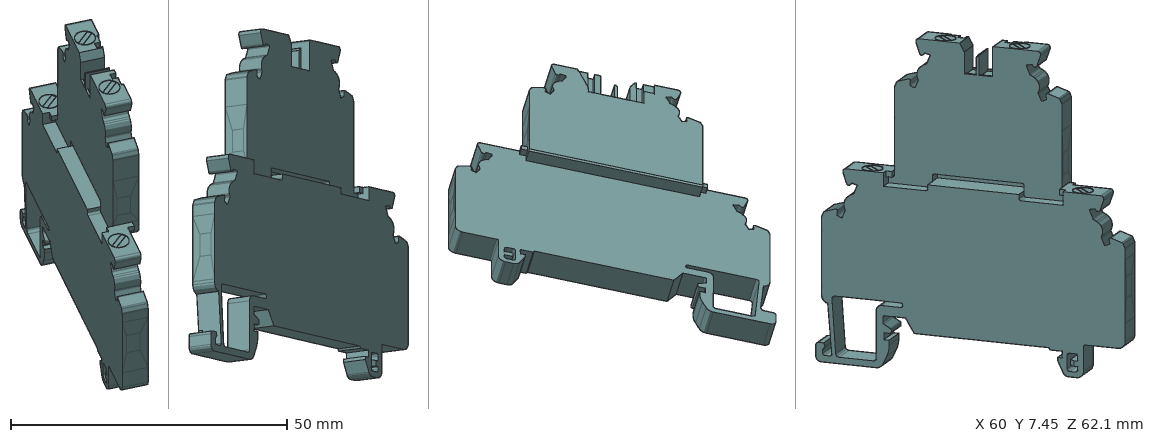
import cadquery as cq
import math

TOTAL_WIDTH = 60.02
TOTAL_HEIGHT = 62.1
TOTAL_DEPTH = 7.45
BLOCK_DEPTH = 4.95
UPPER_FRONT = TOTAL_DEPTH - BLOCK_DEPTH

UPPER_HALF_WIDTH = 16.25
LUG_SPACING = 13.2
LOWER_HALF_WIDTH = UPPER_HALF_WIDTH + LUG_SPACING
HOOK_LEFT = TOTAL_WIDTH - LOWER_HALF_WIDTH

UPPER_TOP = TOTAL_HEIGHT
LOWER_TOP = 36.9

LEDGE_HALF_WIDTH = 17.43
LEDGE_Z = 34.35
TONGUE_HALF_WIDTH = 8.87
TONGUE_Z = 35.5
TONGUE_ROUND = 0.4
SKIRT_EDGE_CHAMFER = 0.3
KEY_Z = 35.8
KEY_FRONT = 1.3
KEY_BACK = 6.2

SLOT_LEFT = -2.7
SLOT_RIGHT = 2.75
SLOT_FLOOR = 56.4
SLOT_CHAMFER_X = 0.9
SLOT_CHAMFER_Z = 1.6
SLOT_CORNER_ROUND = 0.25
SLOT_POCKET_FRONT = 3.0
SLOT_POCKET_BACK = 6.6
SLOT_POCKET_DEPTH = 0.3
FIN_LEFT = -0.4
FIN_RIGHT = 0.2
FIN_TOP = 60.2
FIN_BEVEL_WIDTH = 0.35
FIN_BEVEL_HEIGHT = 0.5

BACK_RECESS_Y = 7.05
BACK_RECESS_HALF_WIDTH = 7.2
BACK_RECESS_FLOOR_HALF_WIDTH = 4.7
BACK_RECESS_STEP_Z = 59.5
BACK_RECESS_FLOOR = 55.9
BACK_NOTCH_Y = 5.95
BACK_NOTCH_INNER = 3.9
BACK_NOTCH_OUTER = 5.2

SCREW_DIAMETER = 3.8
SCREW_X = 7.2
SCREW_Y = 2.25
SCREW_RECESS = 0.1
SCREW_SLOT_WIDTH = 0.92
SCREW_SLOT_DEPTH = 0.1
SCREW_SLOT_ANGLE = -45

FUNNEL_DEPTH = 0.1
FUNNEL_PANEL_FRONT = 0.85
FUNNEL_PANEL_BACK = 3.4
UPPER_FUNNEL = (36.95, 39.1, 43.15, 47.55)
LOWER_FUNNEL = (13.3, 17.8, 21.9, 25.3)

HOOK_WEB_FRONT = 4.1

LATCH_LEFT = 18.65
LATCH_EDGE = 19.55
LATCH_ROOT = 20.6
LATCH_BOTTOM = 4.2
LATCH_TOP = 5.25
LATCH_BEVEL = 0.6


def prism(points, front, back):
    """Extrude an XZ outline of (x, z, corner radius) points from Y = front to Y = back."""
    corners = []
    for i, (x, z, radius) in enumerate(points):
        before = points[i - 1]
        after = points[(i + 1) % len(points)]
        to_before = cq.Vector(before[0] - x, before[1] - z).normalized()
        to_after = cq.Vector(after[0] - x, after[1] - z).normalized()
        corner = cq.Vector(x, z)
        if radius == 0:
            corners.append((corner, None, corner))
            continue
        half_angle = to_before.getAngle(to_after) / 2
        setback = radius / math.tan(half_angle)
        bisector = (to_before + to_after).normalized()
        middle = corner + bisector * (radius / math.sin(half_angle) - radius)
        corners.append((corner + to_before * setback, middle, corner + to_after * setback))

    wire = cq.Workplane("XZ", origin=(0, front, 0)).moveTo(*corners[0][2].toTuple()[:2])
    for start, middle, end in corners[1:] + corners[:1]:
        wire = wire.lineTo(*start.toTuple()[:2])
        if middle is not None:
            wire = wire.threePointArc(middle.toTuple()[:2], end.toTuple()[:2])
    return wire.close().extrude(front - back)


def box(x_range, y_range, z_range):
    """Box between the given limits."""
    size = [limits[1] - limits[0] for limits in (x_range, y_range, z_range)]
    corner = (x_range[0], y_range[0], z_range[0])
    return cq.Workplane("XY").box(*size, centered=False).translate(corner)


def mirrored(points):
    """The same run of points on the other side of X = 0, in reverse order."""
    return [(-x, z, radius) for x, z, radius in reversed(points)]


def left_lug(half_width, top):
    """Stepped terminal lug on the -X side, from its top edge down to the end wall."""
    steps = [
        (3.9, 0.0, 0.6),
        (5.1, 3.45, 0.4),
        (5.85, 2.6, 0.15),
        (6.95, 2.85, 0.1),
        (6.2, 4.6, 0.1),
        (5.55, 4.9, 0.0),
        (3.9, 6.05, 2.0),
        (4.65, 7.85, 0.3),
        (3.95, 9.35, 0.1),
        (3.0, 8.95, 0.2),
        (3.15, 7.65, 0.3),
        (0.45, 8.5, 0.4),
        (0.0, 9.5, 0.4),
    ]
    return [(inward - half_width, top - down, radius) for inward, down, radius in steps]


def lower_outline():
    """Lower block with both rail feet, run anticlockwise from the left lug."""
    lug = left_lug(LOWER_HALF_WIDTH, LOWER_TOP)
    rail_hook = [
        (-LOWER_HALF_WIDTH, 11.6, 1.6),
        (-28.25, 11.15, 0.0),
        (-27.4, 1.3, 0.4),
        (-29.2, 1.3, 0.4),
        (-29.2, 2.4, 0.2),
        (-28.75, 3.0, 0.2),
        (-29.0, 3.65, 0.0),
        (-HOOK_LEFT, 3.65, 0.6),
        (-HOOK_LEFT, 0.0, 1.1),
        (-17.9, 0.0, 1.5),
        (-16.3, 3.4, 5.0),
        (-16.3, 5.45, 0.0),
        (-17.35, 5.45, 0.0),
        (-17.35, 6.75, 0.0),
        (-15.9, 6.75, 0.3),
        (-15.9, 7.6, 0.3),
        (-17.55, 8.5, 0.3),
        (-17.55, 9.95, 0.35),
        (-13.15, 9.95, 0.0),
        (-11.45, 7.2, 0.0),
    ]
    right_foot = [
        (14.65, 7.2, 0.0),
        (14.9, 6.8, 0.0),
        (17.25, 6.8, 0.0),
        (17.25, 5.55, 0.0),
        (16.35, 5.55, 0.0),
        (16.35, 4.95, 0.0),
        (17.75, 2.1, 1.2),
        (21.4, 2.1, 1.4),
        (21.4, 8.45, 0.3),
        (LOWER_HALF_WIDTH, 8.45, 1.4),
    ]
    top_joint = [
        (LEDGE_HALF_WIDTH, LOWER_TOP, 0.0),
        (LEDGE_HALF_WIDTH, LEDGE_Z, 0.0),
        (TONGUE_HALF_WIDTH, LEDGE_Z, TONGUE_ROUND),
        (TONGUE_HALF_WIDTH, TONGUE_Z, 0.0),
    ]
    return lug + rail_hook + right_foot + mirrored(lug) + top_joint + mirrored(top_joint)


def rail_window():
    """Opening above the left foot, with the narrow slit that makes it springy."""
    slit_top = 12.7
    slit_bottom = 11.85
    slit_end = -13.7
    slit_round = 0.4
    floor = 1.25
    return prism(
        [
            (-27.45, slit_top, 0.6),
            (-26.65, floor, 0.7),
            (-18.85, floor, 0.5),
            (-18.85, slit_bottom, 1.1),
            (slit_end, slit_bottom, slit_round),
            (slit_end, slit_top, slit_round),
        ],
        0,
        BLOCK_DEPTH,
    )


def hook_web():
    """Thin web that closes the back of the gap between hook and wall."""
    return prism(
        [
            (-29.4, 1.0, 0.0),
            (-27.2, 1.0, 0.0),
            (-27.6, 4.7, 0.0),
            (-28.0, 3.65, 0.4),
            (-29.4, 3.65, 0.0),
        ],
        HOOK_WEB_FRONT,
        BLOCK_DEPTH,
    )


def foot_eye():
    """Opening in the right foot."""
    eye_round = 0.5
    left, right, bottom, top = 18.2, 20.25, 3.15, 6.6
    corners = [(left, bottom), (right, bottom), (right, top), (left, top)]
    return prism([(x, z, eye_round) for x, z in corners], 0, BLOCK_DEPTH)


def foot_latch():
    """Latch that reaches into the eye from +X, its free edge bevelled towards the front."""
    return (
        cq.Workplane("XY", origin=(0, 0, LATCH_BOTTOM))
        .polyline(
            [
                (LATCH_ROOT, 0),
                (LATCH_EDGE, 0),
                (LATCH_LEFT, LATCH_BEVEL),
                (LATCH_LEFT, BLOCK_DEPTH),
                (LATCH_ROOT, BLOCK_DEPTH),
            ]
        )
        .close()
        .extrude(LATCH_TOP - LATCH_BOTTOM)
    )


def joint_keys():
    """Keys beside the upper block that tie it to the lower lugs."""
    right = box((UPPER_HALF_WIDTH, LEDGE_HALF_WIDTH), (KEY_FRONT, KEY_BACK), (KEY_Z, LOWER_TOP))
    web = box((UPPER_HALF_WIDTH, LEDGE_HALF_WIDTH), (UPPER_FRONT, BLOCK_DEPTH), (LEDGE_Z, LOWER_TOP))
    right = right.union(web)
    return right.union(right.mirror("YZ"))


def make_lower_block():
    block = prism(lower_outline(), 0, BLOCK_DEPTH)
    block = block.cut(rail_window()).cut(foot_eye())
    return block.union(hook_web()).union(foot_latch()).union(joint_keys())


def upper_outline():
    """Upper block, run anticlockwise from the left lug."""
    lug = left_lug(UPPER_HALF_WIDTH, UPPER_TOP)
    base = [(-UPPER_HALF_WIDTH, LEDGE_Z, 0.0), (UPPER_HALF_WIDTH, LEDGE_Z, 0.0)]
    marking_slot = [
        (SLOT_RIGHT, UPPER_TOP, SLOT_CORNER_ROUND),
        (SLOT_RIGHT, SLOT_FLOOR, 0.0),
        (SLOT_LEFT, SLOT_FLOOR, 0.0),
        (SLOT_LEFT, UPPER_TOP - SLOT_CHAMFER_Z, 0.0),
        (SLOT_LEFT - SLOT_CHAMFER_X, UPPER_TOP, 0.0),
    ]
    return lug + base + mirrored(lug) + marking_slot


def tongue_notch():
    """Notch in the foot of the upper block that lets in the tongue of the lower block."""
    right_side = [
        (TONGUE_HALF_WIDTH, LEDGE_Z, 0.0),
        (TONGUE_HALF_WIDTH, LOWER_TOP, TONGUE_ROUND),
    ]
    return prism(right_side + mirrored(right_side), UPPER_FRONT, BLOCK_DEPTH)


def slot_pocket():
    """Shallow pocket in the floor of the marking slot."""
    floor = SLOT_FLOOR - SLOT_POCKET_DEPTH
    return box((SLOT_LEFT, SLOT_RIGHT), (SLOT_POCKET_FRONT, SLOT_POCKET_BACK), (floor, SLOT_FLOOR))


def slot_fin():
    """Thin upright fin in the middle of the marking slot, its top bevelled on the -X side."""
    root = SLOT_FLOOR - 2 * SLOT_POCKET_DEPTH
    outline = [
        (FIN_LEFT, root, 0.0),
        (FIN_RIGHT, root, 0.0),
        (FIN_RIGHT, FIN_TOP, 0.0),
        (FIN_LEFT + FIN_BEVEL_WIDTH, FIN_TOP, 0.0),
        (FIN_LEFT, FIN_TOP - FIN_BEVEL_HEIGHT, 0.0),
    ]
    return prism(outline, UPPER_FRONT, BACK_RECESS_Y)


def back_recess():
    """Shallow stepped recess in the back face, with a deeper notch on each side."""
    recess = prism(
        [
            (-BACK_RECESS_HALF_WIDTH, UPPER_TOP, 0.0),
            (-BACK_RECESS_HALF_WIDTH, BACK_RECESS_STEP_Z, 0.0),
            (-BACK_RECESS_FLOOR_HALF_WIDTH, BACK_RECESS_STEP_Z, 0.0),
            (-BACK_RECESS_FLOOR_HALF_WIDTH, BACK_RECESS_FLOOR, 0.0),
            (BACK_RECESS_FLOOR_HALF_WIDTH, BACK_RECESS_FLOOR, 0.0),
            (BACK_RECESS_HALF_WIDTH, UPPER_TOP, 0.0),
        ],
        BACK_RECESS_Y,
        TOTAL_DEPTH,
    )
    notch = box(
        (BACK_NOTCH_INNER, BACK_NOTCH_OUTER), (BACK_NOTCH_Y, TOTAL_DEPTH), (BACK_RECESS_FLOOR, UPPER_TOP)
    )
    return recess.union(notch).union(notch.mirror("YZ"))


def make_upper_block():
    block = prism(upper_outline(), UPPER_FRONT, TOTAL_DEPTH)
    lower_back_edges = cq.selectors.BoxSelector(
        (-UPPER_HALF_WIDTH, TOTAL_DEPTH - SKIRT_EDGE_CHAMFER, LEDGE_Z - SKIRT_EDGE_CHAMFER),
        (UPPER_HALF_WIDTH, TOTAL_DEPTH + SKIRT_EDGE_CHAMFER, LEDGE_Z + SKIRT_EDGE_CHAMFER),
    )
    block = block.edges("|X").edges(lower_back_edges).chamfer(SKIRT_EDGE_CHAMFER)
    block = block.cut(tongue_notch())
    return block.cut(slot_pocket()).cut(back_recess()).union(slot_fin())


def screw_recess(x, block_front, top):
    """Sunken screw head with its diagonal driver slot, as a body to cut away."""
    head_top = top - SCREW_RECESS
    slot_floor = head_top - SCREW_SLOT_DEPTH
    head = (
        cq.Workplane("XY", origin=(0, 0, head_top)).circle(SCREW_DIAMETER / 2).extrude(SCREW_RECESS)
    )
    slot_limit = (
        cq.Workplane("XY", origin=(0, 0, slot_floor)).circle(SCREW_DIAMETER / 2).extrude(SCREW_SLOT_DEPTH)
    )
    slot = (
        cq.Workplane("XY", origin=(0, 0, slot_floor))
        .rect(SCREW_DIAMETER, SCREW_SLOT_WIDTH)
        .extrude(SCREW_SLOT_DEPTH)
        .rotate((0, 0, 0), (0, 0, 1), SCREW_SLOT_ANGLE)
        .intersect(slot_limit)
    )
    return head.union(slot).translate((x, block_front + SCREW_Y, 0))


def wall_funnel(half_width, block_front, levels):
    """Recess in the +X end wall that tapers from the full wall to a small flat panel."""
    bottom, panel_bottom, panel_top, top = levels
    panel_depth = FUNNEL_PANEL_BACK - FUNNEL_PANEL_FRONT
    panel_centre_y = (FUNNEL_PANEL_FRONT + FUNNEL_PANEL_BACK) / 2
    return (
        cq.Workplane("YZ", origin=(half_width, block_front, 0))
        .center(BLOCK_DEPTH / 2, (bottom + top) / 2)
        .rect(BLOCK_DEPTH, top - bottom)
        .workplane(offset=-FUNNEL_DEPTH)
        .center(panel_centre_y - BLOCK_DEPTH / 2, (panel_bottom + panel_top - bottom - top) / 2)
        .rect(panel_depth, panel_top - panel_bottom)
        .loft(ruled=True)
    )


result = make_lower_block().union(make_upper_block())

for wall, front, lug_top, screw_x, funnel_levels in (
    (UPPER_HALF_WIDTH, UPPER_FRONT, UPPER_TOP, SCREW_X, UPPER_FUNNEL),
    (LOWER_HALF_WIDTH, 0, LOWER_TOP, SCREW_X + LUG_SPACING, LOWER_FUNNEL),
):
    funnel = wall_funnel(wall, front, funnel_levels)
    result = result.cut(funnel).cut(funnel.mirror("YZ"))
    for side in (-1, 1):
        result = result.cut(screw_recess(side * screw_x, front, lug_top))